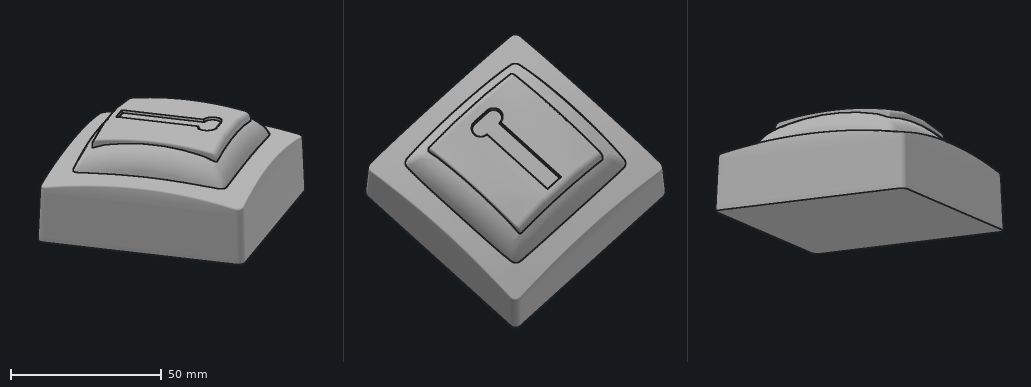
import cadquery as cq
base_half = 36.0
skirt_height = 1.7
draft_top = 17.65
draft_inset = 0.6
wall_top = 26.65
wall_top_inset = 2.8
base_corner_radius = 2.45
crown_height = 26.1
crown_radius = 184.3
crown_edge_radius = 0.6

pad_floor = 19.45
pad_ceiling = 32.75
pad_peak = 38.9
pad_y_profile = [(27.6, 22.3), (25.85, 28.2), (20.15, 32.5)]
pad_x_profile = [(27.7, 22.3), (25.4, 27.8), (21.75, 30.9)]
pad_y_arch_radius = 74.15
pad_x_arch_radius = 98.65
pad_corner_radius = 3.0
pad_corner_zone = 18.7

cap_half_x = 21.75
cap_half_y = 19.65
cap_bottom = 24.5
cap_top = 34.2
strip_half_y = 6.7
cap_side_drop = 0.2
cap_corner_drop = 2.4
cap_end_radius = 2.45
cap_side_radius = 0.65

slot_start_x = -18.2
slot_half_width = 3.2
head_center_x = 13.3
head_radius = 3.1
head_length = 12.25
recess_depth = 0.9
recess_draft = 20.0


def wall_prism(plane):
    """Symmetric wall outline extruded through the full width of the base."""
    drafted = base_half - draft_inset
    top = base_half - wall_top_inset
    return (
        cq.Workplane(plane)
        .moveTo(0, skirt_height)
        .lineTo(base_half, skirt_height)
        .lineTo(drafted, draft_top)
        .tangentArcPoint((top, wall_top), relative=False)
        .lineTo(0, wall_top)
        .mirrorY()
        .extrude(base_half, both=True)
    )


def is_corner(edge):
    """True for the edges standing on the diagonals, away from the centre."""
    middle = edge.Center()
    return abs(middle.x) > 0.7 and abs(abs(middle.x) - abs(middle.y)) < 0.01


def make_base():
    """Walls with rounded corners under a spherical crown, standing on a straight skirt."""
    block = wall_prism("XZ").intersect(wall_prism("YZ"))
    corners = [edge for edge in block.edges().vals() if is_corner(edge)]
    block = block.newObject(corners).fillet(base_corner_radius)
    crown = cq.Workplane("XY").sphere(crown_radius).translate((0, 0, crown_height - crown_radius))
    domed = block.intersect(crown).faces(">Z").edges().fillet(crown_edge_radius)
    skirt = cq.Solid.extrudeLinear(domed.faces("<Z").val(), cq.Vector(0, 0, -skirt_height))
    return domed.union(skirt)


def pad_barrel(plane, profile, arch_radius):
    """Pad side profile revolved about a low axis, so the sides arch along their length."""
    base_point, mid_point, top_point = profile
    axis_height = top_point[1] - arch_radius
    return (
        cq.Workplane(plane)
        .moveTo(-base_point[0], pad_floor)
        .lineTo(base_point[0], pad_floor)
        .lineTo(*base_point)
        .threePointArc(mid_point, top_point)
        .lineTo(0, pad_peak)
        .lineTo(-top_point[0], top_point[1])
        .threePointArc((-mid_point[0], mid_point[1]), (-base_point[0], base_point[1]))
        .close()
        .revolve(360, (0, axis_height), (1, axis_height))
    )


def is_pad_corner(edge):
    """True for the edges climbing the pad where its sides meet."""
    middle = edge.Center()
    return min(abs(middle.x), abs(middle.y)) > pad_corner_zone and middle.z > pad_floor + 0.7


def make_pad():
    """Two crossed barrels trimmed to the pad's height, with rounded corners."""
    barrel_y = pad_barrel("YZ", pad_y_profile, pad_y_arch_radius)
    barrel_x = pad_barrel("XZ", pad_x_profile, pad_x_arch_radius)
    slab = (
        cq.Workplane("XY", origin=(0, 0, pad_floor))
        .rect(2 * base_half, 2 * base_half)
        .extrude(pad_ceiling - pad_floor)
    )
    pad = barrel_y.intersect(barrel_x).intersect(slab)
    corners = [edge for edge in pad.edges().vals() if is_pad_corner(edge)]
    return pad.newObject(corners).fillet(pad_corner_radius)


def cap_section(y, side_drop, corner_drop):
    """Cross-section of the cap with rounded ends, its top arched when the corners drop."""
    end_height = cap_top - corner_drop
    section = (
        cq.Workplane("XZ", origin=(0, y, 0))
        .moveTo(cap_half_x, end_height)
        .lineTo(cap_half_x, cap_bottom)
        .lineTo(-cap_half_x, cap_bottom)
        .lineTo(-cap_half_x, end_height)
    )
    if corner_drop > 0:
        section = section.threePointArc((0, cap_top - side_drop), (cap_half_x, end_height))
    outline = section.close().val()
    top_corners = [v for v in outline.Vertices() if v.Z > cap_bottom + 0.7]
    return outline.fillet2D(cap_end_radius, top_corners)


def make_cap():
    """Cap ruled between the arched side sections and the flat centre strip."""
    sections = [
        cap_section(-cap_half_y, cap_side_drop, cap_corner_drop),
        cap_section(-strip_half_y, 0, 0),
        cap_section(strip_half_y, 0, 0),
        cap_section(cap_half_y, cap_side_drop, cap_corner_drop),
    ]
    cap = cq.Workplane(obj=cq.Solid.makeLoft(sections, True))
    return cap.faces("<Y or >Y").edges("not <Z").fillet(cap_side_radius)


def make_recess():
    """Key-shaped cutter: a straight shaft ending in a wide rounded head."""
    top = cq.Workplane("XY", origin=(0, 0, cap_top))
    shaft_length = head_center_x - slot_start_x
    shaft = (
        top.center(slot_start_x + shaft_length / 2, 0)
        .rect(shaft_length, 2 * slot_half_width)
        .extrude(-recess_depth, taper=recess_draft)
    )
    head = (
        top.center(head_center_x, 0)
        .slot2D(head_length, 2 * head_radius, 90)
        .extrude(-recess_depth, taper=recess_draft)
    )
    return shaft.union(head)


result = make_base().union(make_pad()).union(make_cap()).cut(make_recess())